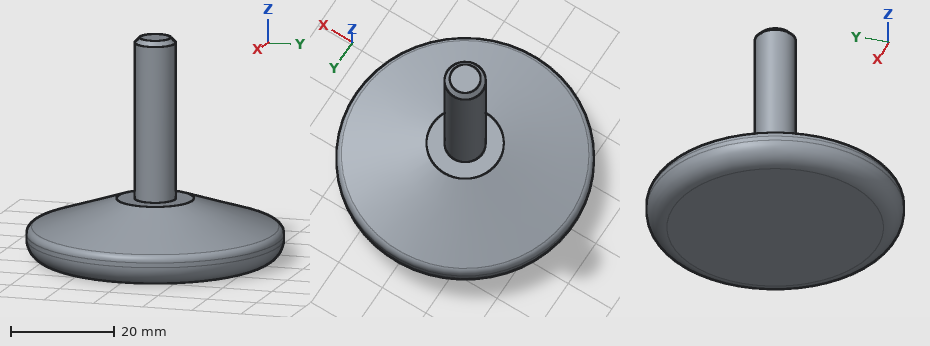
import cadquery as cq
import math

foot_radius = 25.0
foot_height = 12.0
land_radius = 7.5
rim_height = 6.0
bottom_round = 4.0
shoulder_round = 1.5

stud_diameter = 8.0
stud_chamfer = 1.0
overall_height = 44.0


def arc_point(center, radius, angle):
    """Point on a circle in the radius-height plane, angle in radians."""
    return (center[0] + radius * math.cos(angle), center[1] + radius * math.sin(angle))


def make_foot():
    """Revolved foot: rounded bottom, short straight rim, rounded shoulder and cone."""
    bottom_center = (foot_radius - bottom_round, bottom_round)

    cone_normal = math.atan2(foot_radius - land_radius, foot_height - rim_height)
    rim_top = rim_height - shoulder_round * math.tan(cone_normal / 2)
    shoulder_center = (foot_radius - shoulder_round, rim_top)

    profile = (
        cq.Workplane("XZ")
        .lineTo(bottom_center[0], 0)
        .threePointArc(
            arc_point(bottom_center, bottom_round, -math.pi / 4),
            (foot_radius, bottom_round),
        )
        .lineTo(foot_radius, rim_top)
        .threePointArc(
            arc_point(shoulder_center, shoulder_round, cone_normal / 2),
            arc_point(shoulder_center, shoulder_round, cone_normal),
        )
        .lineTo(land_radius, foot_height)
        .lineTo(0, foot_height)
        .close()
    )
    return profile.revolve(360, (0, 0, 0), (0, 1, 0))


def make_stud():
    """Plain stud with a chamfered tip, running through the foot from its base plane."""
    stud = cq.Workplane("XY").circle(stud_diameter / 2).extrude(overall_height)
    return stud.faces(">Z").edges().chamfer(stud_chamfer)


result = make_foot().union(make_stud(), clean=True)